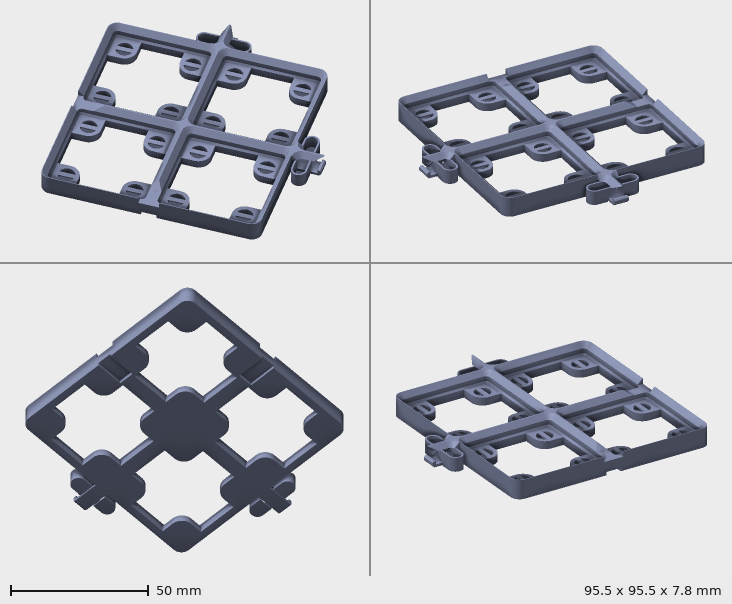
import cadquery as cq

pitch = 42.0
cells_per_side = 2
frame_half = pitch * cells_per_side / 2
frame_corner_radius = 3.8
height = 7.8

rim_half_width = 0.25
rim_corner_radius = frame_corner_radius - rim_half_width
upper_slope = 2.0
straight_wall = 1.9
lower_slope = 0.72

ridge_bottom = height - upper_slope
lower_slope_top = ridge_bottom - straight_wall
pad_top = lower_slope_top - lower_slope
rib_half_width = rim_half_width + upper_slope + lower_slope
throat_size = pitch - 2 * rib_half_width
middle_size = throat_size + 2 * lower_slope
middle_corner_radius = rim_corner_radius - upper_slope
throat_corner_radius = middle_corner_radius - lower_slope

pad_hole_offset = 13.0
pad_radius = 4.8
pocket_diameter = 6.5
pocket_depth = 2.4
pocket_bar_width = 1.9
pocket_bar_thickness = 0.5

connector_half_width = 3.8
ridge_reach = 11.5
ridge_bottom_reach = 8.0
ridge_tip_height = 0.2
tongue_width = 5.9
tongue_thickness = 1.05
hook_reach = 11.2
hook_width = 1.4
hook_height = 2.5
hook_nose_chamfer = 0.5
hook_heel_chamfer = 0.8

socket_half_width = 4.0
socket_clearance = 0.2
socket_floor = ridge_bottom - socket_clearance
socket_floor_length = 7.6
socket_length = 11.5
tongue_slot_width = 6.1
tongue_slot_height = 1.3
tongue_slot_length = 11.3
tongue_slot_lip_height = 1.05
tongue_slot_end_run = 0.2

support_length = 21.0
support_width = 5.9
support_wall = 0.7
support_floor = 0.5
support_gap = 0.2
support_height = ridge_bottom - support_gap
support_offset = 4.2
arch_half_width = 3.4
arch_straight_height = 1.2

cell_centres = [
    (pitch * (column - (cells_per_side - 1) / 2), pitch * (row - (cells_per_side - 1) / 2))
    for column in range(cells_per_side)
    for row in range(cells_per_side)
]
edge_turns = (0, -90)


def rounded_prism(size, radius, bottom, depth, taper=0.0):
    """Square prism with rounded corners; a taper of -45 widens it upwards at 45 degrees."""
    outline = cq.Sketch().rect(size, size).vertices().fillet(radius)
    return cq.Workplane("XY").workplane(offset=bottom).placeSketch(outline).extrude(depth, taper=taper)


def side_profile(points, width):
    """Extrude a (Y, Z) outline symmetrically along X."""
    return cq.Workplane("YZ").polyline(points).close().extrude(width / 2, both=True)


def upper_cell():
    """Flared rim of a cell, above the straight wall."""
    return rounded_prism(middle_size, middle_corner_radius, ridge_bottom, upper_slope, -45)


def cell_opening():
    """Full-height opening of one cell: throat, lower slope, straight wall and rim."""
    throat = rounded_prism(throat_size, throat_corner_radius, 0, pad_top)
    flare = rounded_prism(throat_size, throat_corner_radius, pad_top, lower_slope, -45)
    straight = rounded_prism(middle_size, middle_corner_radius, lower_slope_top, straight_wall)
    return throat.union(flare).union(straight).union(upper_cell())


def corner_pad():
    """Pad for the +X +Y corner of a cell centred on the origin."""
    inner = pad_hole_offset - pad_radius
    outer = pitch / 2 - rim_half_width - upper_slope
    side = outer - inner
    middle = (inner + outer) / 2
    pad = cq.Workplane("XY").center(middle, middle).rect(side, side).extrude(pad_top)
    pad = pad.edges("|Z and <X and <Y").fillet(pad_radius)
    pocket = (
        cq.Workplane("XY", origin=(pad_hole_offset, pad_hole_offset, pad_top - pocket_depth))
        .circle(pocket_diameter / 2)
        .extrude(pocket_depth)
    )
    bar = (
        cq.Workplane("XY", origin=(pad_hole_offset, pad_hole_offset, pad_top))
        .rect(pocket_diameter, pocket_bar_width)
        .extrude(-pocket_bar_thickness)
    )
    return pad.cut(pocket.cut(bar))


def connector():
    """Ridge, node and hooked tongue on the +Y edge."""
    edge = frame_half
    ridge = side_profile(
        [
            (edge, ridge_bottom),
            (edge + ridge_bottom_reach, ridge_bottom),
            (edge + ridge_reach, height - ridge_tip_height),
            (edge + ridge_reach, height),
            (edge, height),
        ],
        2 * connector_half_width,
    )
    for side in (-1, 1):
        ridge = ridge.cut(upper_cell().translate((side * pitch / 2, edge + pitch / 2, 0)))

    tip = edge + hook_reach
    tongue = side_profile(
        [
            (edge, 0),
            (tip - hook_heel_chamfer, 0),
            (tip, hook_heel_chamfer),
            (tip, hook_height - hook_nose_chamfer),
            (tip - hook_nose_chamfer, hook_height),
            (tip - hook_width, hook_height),
            (tip - hook_width, tongue_thickness),
            (edge, tongue_thickness),
        ],
        tongue_width,
    )
    return ridge.union(tongue)


def socket():
    """Room in the -Y edge for a neighbour's ridge, node and tongue."""
    edge = -frame_half
    ridge_room = side_profile(
        [
            (edge, socket_floor),
            (edge + socket_floor_length, socket_floor),
            (edge + socket_length, height),
            (edge, height),
        ],
        2 * socket_half_width,
    )
    slot_end = edge + tongue_slot_length
    tongue_slot = side_profile(
        [
            (edge, 0),
            (slot_end + tongue_slot_end_run, 0),
            (slot_end, tongue_slot_lip_height),
            (slot_end, tongue_slot_height),
            (edge, tongue_slot_height),
        ],
        tongue_slot_width,
    )
    return ridge_room.union(tongue_slot)


def make_frame():
    """Ribbed grid with its pads, two connectors and two sockets."""
    frame = rounded_prism(2 * frame_half, frame_corner_radius, 0, height)
    opening = cell_opening()
    pad = corner_pad()
    for x, y in cell_centres:
        frame = frame.cut(opening.translate((x, y, 0)))
    for x, y in cell_centres:
        for quarter in range(4):
            turned = pad
            if quarter in (1, 2):
                turned = turned.mirror("YZ")
            if quarter in (2, 3):
                turned = turned.mirror("XZ")
            frame = frame.union(turned.translate((x, y, 0)))
    for angle in edge_turns:
        frame = frame.union(connector().rotate((0, 0, 0), (0, 0, 1), angle))
    for angle in edge_turns:
        frame = frame.cut(socket().rotate((0, 0, 0), (0, 0, 1), angle))
    return frame


def make_support():
    """Slot-shaped cup below the +Y ridge, arched over the tongue."""
    inner_width = support_width - 2 * support_wall
    inner_length = support_length - 2 * support_wall
    cup = cq.Workplane("XY").slot2D(support_length, support_width).extrude(support_height)
    cavity = cq.Workplane("XY").workplane(offset=support_floor)
    cavity = cavity.slot2D(inner_length, inner_width).extrude(support_height)
    arch = (
        cq.Workplane("XZ")
        .polyline(
            [
                (-arch_half_width, 0),
                (arch_half_width, 0),
                (arch_half_width, arch_straight_height),
                (0, arch_straight_height + arch_half_width),
                (-arch_half_width, arch_straight_height),
            ]
        )
        .close()
        .extrude(support_width / 2, both=True)
    )
    return cup.cut(cavity).cut(arch).translate((0, frame_half + support_offset, 0))


frame = make_frame()
supports = [make_support().rotate((0, 0, 0), (0, 0, 1), angle) for angle in edge_turns]
result = cq.Compound.makeCompound([frame.val(), *[support.val() for support in supports]])